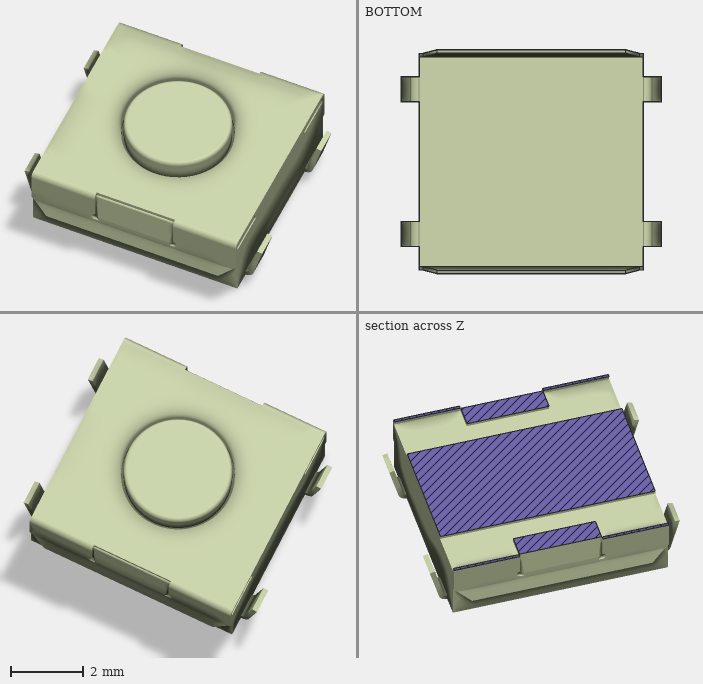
import cadquery as cq
import math


TOTAL_LENGTH = 7.2
TOTAL_HEIGHT = 2.5
BODY_LENGTH = 6.2

COVER_WIDTH = 6.0
COVER_TOP = 2.0
SHEET = 0.1
BEND_INNER_RADIUS = 0.05
BEND_OUTER_RADIUS = BEND_INNER_RADIUS + SHEET
FLARE_ANGLE = math.radians(15.0)
FLARE_REACH = 0.1
FLARE_LENGTH = FLARE_REACH / math.sin(FLARE_ANGLE)
FLARE_TOP = 0.91
CORNER_RISE = 0.11
PLUNGER_HOLE_DIAMETER = 3.15

WINDOW_WIDTH = 2.375
WINDOW_BOTTOM = 1.01
RELIEF_RADIUS = 0.09

BASE_WIDTH = COVER_WIDTH - 2 * SHEET
BASE_TOP = COVER_TOP - SHEET
CHANNEL_DEPTH = 0.2
CHANNEL_INNER_Y = 1.65
RIB_INNER_Y = 2.275
LATCH_LIP_HEIGHT = 0.1
LATCH_CLEARANCE = 0.015

PLUNGER_DIAMETER = 3.0
PLUNGER_FILLET = 0.1

TERMINAL_WIDTH = 0.7
TERMINAL_THICKNESS = 0.15
TERMINAL_SPACING = 4.0
TERMINAL_LEAN = math.radians(15.0)
TERMINAL_INNER_RADIUS = 0.09
TERMINAL_OUTER_RADIUS = TERMINAL_INNER_RADIUS + TERMINAL_THICKNESS

HALF_LENGTH = BODY_LENGTH / 2
WALL_OUTER_Y = COVER_WIDTH / 2
WALL_INNER_Y = BASE_WIDTH / 2
SIDES = (-1, 1)


def block(x_size, y_range, z_range):
    """Box centred on X that spans the given Y and Z ranges."""
    y_low, y_high = y_range
    z_low, z_high = z_range
    return (
        cq.Workplane("XY")
        .box(x_size, y_high - y_low, z_high - z_low, centered=(True, False, False))
        .translate((0, y_low, z_low))
    )


def both_sides(shape, plane):
    """The shape together with its mirror image."""
    return shape.union(shape.mirror(plane))


def base_block():
    """Main moulding, with rounded long edges that fit the cover bends."""
    body = block(BODY_LENGTH, (-WALL_INNER_Y, WALL_INNER_Y), (0, BASE_TOP))
    body = body.edges("|X and >Z").fillet(BEND_INNER_RADIUS)
    channel = block(
        BODY_LENGTH, (CHANNEL_INNER_Y, WALL_INNER_Y), (BASE_TOP - CHANNEL_DEPTH, BASE_TOP)
    )
    rib = block(WINDOW_WIDTH, (RIB_INNER_Y, WALL_INNER_Y), (0, BASE_TOP))
    return body.cut(both_sides(channel.cut(rib), "XZ"))


def latch():
    """Snap wedge that fits the +Y cover window, with sides drafted at 45 degrees."""
    profile = [
        (WALL_INNER_Y, WINDOW_BOTTOM),
        (WALL_OUTER_Y, WINDOW_BOTTOM),
        (WALL_OUTER_Y, WINDOW_BOTTOM + LATCH_LIP_HEIGHT),
        (WALL_INNER_Y, BASE_TOP - BEND_INNER_RADIUS),
    ]
    wedge = cq.Workplane("YZ").polyline(profile).close().extrude(WINDOW_WIDTH / 2, both=True)
    root = WINDOW_WIDTH / 2 - LATCH_CLEARANCE
    tip = root - SHEET
    plan = [
        (-root, WALL_INNER_Y),
        (root, WALL_INNER_Y),
        (tip, WALL_OUTER_Y),
        (-tip, WALL_OUTER_Y),
    ]
    return wedge.intersect(cq.Workplane("XY").polyline(plan).close().extrude(BASE_TOP))


def plunger():
    return (
        cq.Workplane("XY")
        .workplane(offset=BASE_TOP)
        .circle(PLUNGER_DIAMETER / 2)
        .extrude(TOTAL_HEIGHT - BASE_TOP)
        .faces(">Z")
        .edges()
        .fillet(PLUNGER_FILLET)
    )


def terminal():
    """Bent terminal on the +X side, centred on Y = 0, flush with the underside."""
    centre_z = TERMINAL_OUTER_RADIUS
    cos_lean = math.cos(TERMINAL_LEAN)
    sin_lean = math.sin(TERMINAL_LEAN)
    bend_end_x = HALF_LENGTH + TERMINAL_OUTER_RADIUS * cos_lean
    straight = (TOTAL_LENGTH / 2 - bend_end_x) / sin_lean

    def bend_point(radius, angle):
        return (HALF_LENGTH + radius * math.sin(angle), centre_z - radius * math.cos(angle))

    def tip_point(radius):
        x, z = bend_point(radius, bend_angle)
        return (x + straight * sin_lean, z + straight * cos_lean)

    bend_angle = math.pi / 2 - TERMINAL_LEAN
    outer = TERMINAL_OUTER_RADIUS
    inner = TERMINAL_INNER_RADIUS
    return (
        cq.Workplane("XZ")
        .moveTo(*bend_point(outer, 0))
        .threePointArc(bend_point(outer, bend_angle / 2), bend_point(outer, bend_angle))
        .lineTo(*tip_point(outer))
        .lineTo(*tip_point(inner))
        .lineTo(*bend_point(inner, bend_angle))
        .threePointArc(bend_point(inner, bend_angle / 2), bend_point(inner, 0))
        .close()
        .extrude(TERMINAL_WIDTH / 2, both=True)
    )


def make_base():
    base = base_block().union(both_sides(latch(), "XZ")).union(plunger())
    terminals = both_sides(terminal(), "YZ")
    for side in SIDES:
        base = base.union(terminals.translate((0, side * TERMINAL_SPACING / 2, 0)))
    return base


def cover_half():
    """The +Y half of the bent sheet: top, bend, wall and flared lip."""
    flare_drop = FLARE_REACH / math.tan(FLARE_ANGLE)
    tip_y = WALL_OUTER_Y + FLARE_REACH
    tip_z = FLARE_TOP - flare_drop
    inner_tip_y = tip_y - SHEET * math.cos(FLARE_ANGLE)
    inner_tip_z = tip_z - SHEET * math.sin(FLARE_ANGLE)
    inner_kink_z = FLARE_TOP - SHEET * math.tan(FLARE_ANGLE / 2)
    return (
        cq.Workplane("YZ")
        .moveTo(0, COVER_TOP)
        .lineTo(WALL_OUTER_Y - BEND_OUTER_RADIUS, COVER_TOP)
        .radiusArc((WALL_OUTER_Y, COVER_TOP - BEND_OUTER_RADIUS), BEND_OUTER_RADIUS)
        .lineTo(WALL_OUTER_Y, FLARE_TOP)
        .lineTo(tip_y, tip_z)
        .lineTo(inner_tip_y, inner_tip_z)
        .lineTo(WALL_INNER_Y, inner_kink_z)
        .lineTo(WALL_INNER_Y, BASE_TOP - BEND_INNER_RADIUS)
        .radiusArc((WALL_INNER_Y - BEND_INNER_RADIUS, BASE_TOP), -BEND_INNER_RADIUS)
        .lineTo(0, BASE_TOP)
        .close()
        .extrude(HALF_LENGTH, both=True)
    )


def corner_prism(tilt, outline):
    """Cutter for the +X lower corner, square to a sheet face that leans out by `tilt`.

    The outline is given as (distance in from the sheet end, height above the +Y kink).
    """
    face = cq.Plane(
        origin=(HALF_LENGTH, WALL_OUTER_Y, FLARE_TOP),
        xDir=(-1, 0, 0),
        normal=(0, math.cos(tilt), math.sin(tilt)),
    )
    return cq.Workplane(face).polyline(outline).close().extrude(2 * SHEET, both=True)


def corner_cut():
    """45-degree corner cut that starts in the wall and runs on down the lip."""
    rise = CORNER_RISE
    wedge = SHEET * math.tan(FLARE_ANGLE)
    wall_outline = [(0, rise), (rise, 0), (rise, -wedge), (0, -wedge)]
    drop = 2 * FLARE_LENGTH
    lip_outline = [(0, 0), (rise, 0), (rise + drop, -drop), (0, -drop)]
    return corner_prism(0, wall_outline).union(corner_prism(FLARE_ANGLE, lip_outline))


def window():
    """Opening in the +Y wall and bend, with a round relief at each lower corner."""
    opening = block(
        WINDOW_WIDTH,
        (WALL_OUTER_Y - BEND_OUTER_RADIUS, WALL_OUTER_Y),
        (WINDOW_BOTTOM, COVER_TOP),
    )
    reliefs = (
        cq.Workplane("XZ", origin=(0, WALL_INNER_Y, WINDOW_BOTTOM + RELIEF_RADIUS))
        .pushPoints([(side * WINDOW_WIDTH / 2, 0) for side in SIDES])
        .circle(RELIEF_RADIUS)
        .extrude(-SHEET)
    )
    return opening.union(reliefs)


def make_cover():
    half = cover_half().cut(both_sides(corner_cut(), "YZ")).cut(window())
    plunger_hole = (
        cq.Workplane("XY")
        .workplane(offset=BASE_TOP)
        .circle(PLUNGER_HOLE_DIAMETER / 2)
        .extrude(SHEET)
    )
    return both_sides(half, "XZ").cut(plunger_hole)


base = make_base()
cover = make_cover()

result = cq.Compound.makeCompound([base.solids().val(), cover.solids().val()])